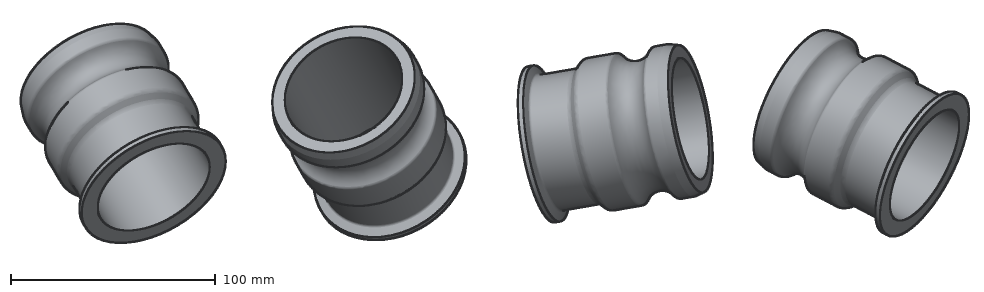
import cadquery as cq
import math


flange_diameter = 77.5
body_diameter = 75.7
neck_diameter = 67.3
bore_diameter = 60.2
nose_diameter = 73.1

total_length = 76.2
nose_length = 4.8
groove_center_x = 21.4
shoulder_middle_x = 49.0
rim_thickness = 2.8

groove_radius = 11.0
groove_floor_radius = 32.3

shoulder_angle = 45.0
flange_back_angle = 20.0

groove_edge_round = 1.55
shoulder_round = 3.2
flange_root_round = 1.1

flange_radius = flange_diameter / 2
body_radius = body_diameter / 2
neck_radius = neck_diameter / 2
bore_radius = bore_diameter / 2
nose_radius = nose_diameter / 2

shoulder_length = (body_radius - neck_radius) / math.tan(math.radians(shoulder_angle))
shoulder_start_x = shoulder_middle_x - shoulder_length / 2
shoulder_end_x = shoulder_middle_x + shoulder_length / 2

rim_start_x = total_length - rim_thickness
flange_back_length = (flange_radius - neck_radius) * math.tan(math.radians(flange_back_angle))
flange_root_x = rim_start_x - flange_back_length

groove_center_radius = groove_floor_radius + groove_radius
groove_half_mouth = math.sqrt(groove_radius**2 - (groove_center_radius - body_radius) ** 2)
groove_start_x = groove_center_x - groove_half_mouth
groove_end_x = groove_center_x + groove_half_mouth


def turned_body():
    """Revolve the half section, with sharp corners, about the X axis."""
    half_section = (
        cq.Workplane("XY")
        .moveTo(0, bore_radius)
        .lineTo(0, nose_radius)
        .lineTo(nose_length, body_radius)
        .lineTo(groove_start_x, body_radius)
        .threePointArc((groove_center_x, groove_floor_radius), (groove_end_x, body_radius))
        .lineTo(shoulder_start_x, body_radius)
        .lineTo(shoulder_end_x, neck_radius)
        .lineTo(flange_root_x, neck_radius)
        .lineTo(rim_start_x, flange_radius)
        .lineTo(total_length, flange_radius)
        .lineTo(total_length, bore_radius)
        .close()
    )
    return half_section.revolve(360, (0, 0, 0), (1, 0, 0))


def round_edge(body, edge_x, radius):
    """Round the circular edge whose centre lies on the axis at edge_x."""
    tolerance = 0.01
    edge_box = cq.selectors.BoxSelector(
        (edge_x - tolerance, -tolerance, -tolerance),
        (edge_x + tolerance, tolerance, tolerance),
    )
    return body.edges(edge_box).fillet(radius)


result = turned_body()

for edge_x, radius in (
    (groove_start_x, groove_edge_round),
    (groove_end_x, groove_edge_round),
    (shoulder_start_x, shoulder_round),
    (shoulder_end_x, shoulder_round),
    (flange_root_x, flange_root_round),
):
    result = round_edge(result, edge_x, radius)